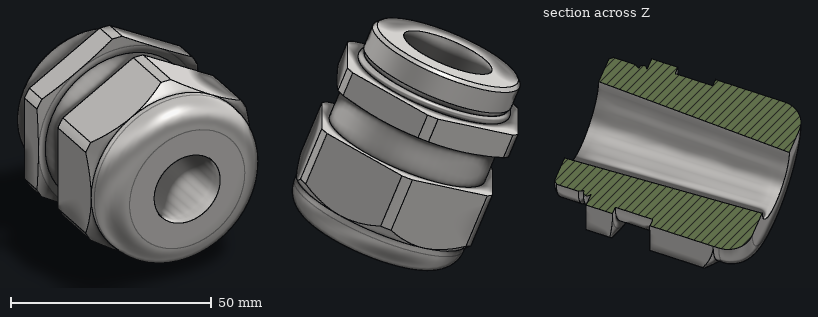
import cadquery as cq
import math

length = 52.0
across_flats = 46.0
hex_sides = 6
corner_radius = 25.8
flat_radius = across_flats / 2

groove_start = 6.75
body_hex_start = 10.0
body_hex_end = 17.1
nut_start = 27.05
nut_hex_end = 44.0

spigot_radius = 19.95
spigot_chamfer = 0.95

ring_section_radius = 1.0
ring_outer_radius = 20.5
ring_center_radius = ring_outer_radius - ring_section_radius
ring_position = body_hex_start - ring_section_radius
groove_radius = 19.3
groove_taper_end = ring_position - ring_section_radius

neck_radius = 21.05
dome_radius = 6.5

body_chamfer_angle = 15.0
nut_chamfer_angle = 45.0

bore_entry_radius = 11.9
bore_exit_radius = 9.45


def revolve_about_x(profile):
    """Close a half profile in the XY plane and spin it about the X axis."""
    return profile.close().revolve(360, (0, 0, 0), (1, 0, 0))


def make_spigot():
    """Chamfered spigot that tapers down into the O-ring groove."""
    profile = (
        cq.Workplane("XY")
        .lineTo(0, spigot_radius - spigot_chamfer)
        .lineTo(spigot_chamfer, spigot_radius)
        .lineTo(groove_start, spigot_radius)
        .lineTo(groove_taper_end, groove_radius)
        .lineTo(body_hex_start, groove_radius)
        .lineTo(body_hex_start, 0)
    )
    return revolve_about_x(profile)


def make_ring():
    section = cq.Workplane("XY").moveTo(ring_position, ring_center_radius).circle(ring_section_radius)
    return section.revolve(360, (0, 0, 0), (1, 0, 0))


def make_hexagon(start, end, chamfer_angle):
    """Hexagon with flats facing +/-Y, rounded corners and a turned chamfer at its +X end."""
    across_corners = across_flats / math.cos(math.pi / hex_sides)
    prism = (
        cq.Workplane("YZ", origin=(start, 0, 0))
        .transformed(rotate=(0, 0, 90))
        .polygon(hex_sides, across_corners)
        .extrude(end - start)
    )
    chamfer_length = (corner_radius - flat_radius) * math.tan(math.radians(chamfer_angle))
    envelope = (
        cq.Workplane("XY")
        .moveTo(start, 0)
        .lineTo(start, corner_radius)
        .lineTo(end - chamfer_length, corner_radius)
        .lineTo(end, flat_radius)
        .lineTo(end, 0)
    )
    return prism.intersect(revolve_about_x(envelope))


def make_neck():
    return (
        cq.Workplane("YZ", origin=(body_hex_end, 0, 0))
        .circle(neck_radius)
        .extrude(nut_start - body_hex_end)
    )


def make_dome():
    """Round end of the cap nut with a large rounded outer edge."""
    return (
        cq.Workplane("YZ", origin=(nut_hex_end, 0, 0))
        .circle(flat_radius)
        .extrude(length - nut_hex_end)
        .faces(">X")
        .edges()
        .fillet(dome_radius)
    )


def make_bore():
    profile = (
        cq.Workplane("XY")
        .lineTo(0, bore_entry_radius)
        .lineTo(length, bore_exit_radius)
        .lineTo(length, 0)
    )
    return revolve_about_x(profile)


result = (
    make_spigot()
    .union(make_ring())
    .union(make_hexagon(body_hex_start, body_hex_end, body_chamfer_angle))
    .union(make_neck())
    .union(make_hexagon(nut_start, nut_hex_end, nut_chamfer_angle))
    .union(make_dome())
    .cut(make_bore())
)